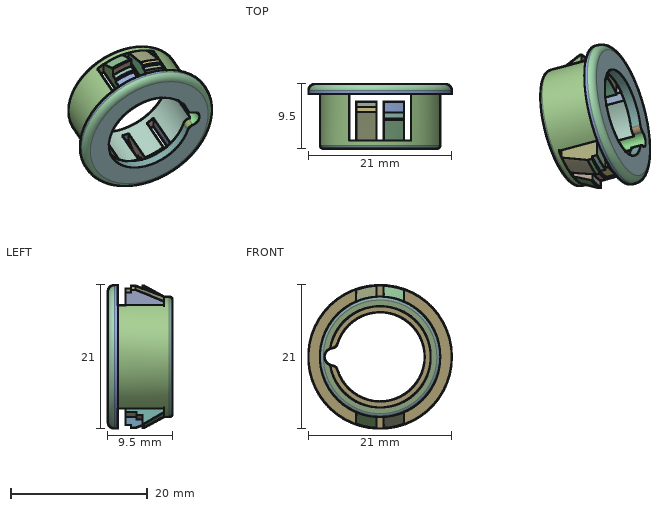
import cadquery as cq
import math


flange_radius = 10.5
flange_thickness = 1.5
flange_edge_fillet = 1.0
flange_bore_radius = 6.5

overall_length = 9.5
barrel_radius = 8.8
barrel_bore_radius = 7.4
barrel_edge_fillet = 0.5
flange_front = overall_length - flange_thickness

notch_radius = 1.25
notch_depth_radius = 8.1
notch_corner_radius = 1.0

window_width = 9.0
rim_length = 1.25

tab_inner_x = 0.5
tab_outer_x = 3.5
tab_end = 6.9
tab_peak_radius = 10.4

low_tab_steps = [(6.1, 10.0), (5.4, tab_peak_radius)]
high_tab_steps = [(5.3, barrel_radius), (4.4, 9.2), (4.2, tab_peak_radius)]


def cylinder(radius, start, end):
    """Solid cylinder about the Y axis from y = start to y = end."""
    return cq.Workplane("XZ", origin=(0, start, 0)).circle(radius).extrude(start - end)


def box_between(x_range, y_range, z_range):
    """Axis-aligned box spanning the given ranges."""
    sizes = [high - low for low, high in (x_range, y_range, z_range)]
    corner = (x_range[0], y_range[0], z_range[0])
    return cq.Workplane("XY").box(*sizes, centered=False).translate(corner)


def make_shell():
    """Flange and barrel with their rounded rims and stepped bore."""
    flange = cylinder(flange_radius, flange_front, overall_length)
    flange = flange.faces(">Y").edges().fillet(flange_edge_fillet)
    barrel = cylinder(barrel_radius, 0, flange_front)
    barrel = barrel.faces("<Y").edges().fillet(barrel_edge_fillet)
    shell = flange.union(barrel)
    shell = shell.cut(cylinder(barrel_bore_radius, 0, flange_front))
    return shell.cut(cylinder(flange_bore_radius, flange_front, overall_length))


def make_notch():
    """Keyway cutter: a round notch blended into the flange bore by two tangent arcs."""
    notch_x = notch_radius - notch_depth_radius
    to_axis = flange_bore_radius + notch_corner_radius
    to_notch = notch_radius + notch_corner_radius
    blend_x = (to_axis**2 - to_notch**2 + notch_x**2) / (2 * notch_x)
    blend_z = math.sqrt(to_axis**2 - blend_x**2)

    bore_x = blend_x * flange_bore_radius / to_axis
    bore_z = blend_z * flange_bore_radius / to_axis
    tangent_x = notch_x + (blend_x - notch_x) * notch_radius / to_notch
    tangent_z = blend_z * notch_radius / to_notch

    chord_x = (bore_x + tangent_x) / 2 - blend_x
    chord_z = (bore_z + tangent_z) / 2 - blend_z
    reach = notch_corner_radius / math.hypot(chord_x, chord_z)
    middle_x = blend_x + chord_x * reach
    middle_z = blend_z + chord_z * reach

    return (
        cq.Workplane("XZ")
        .moveTo(0, 0)
        .lineTo(bore_x, bore_z)
        .threePointArc((middle_x, middle_z), (tangent_x, tangent_z))
        .threePointArc((-notch_depth_radius, 0), (tangent_x, -tangent_z))
        .threePointArc((middle_x, -middle_z), (bore_x, -bore_z))
        .close()
        .extrude(-overall_length)
    )


def make_windows():
    """One box that opens both windows."""
    half_width = window_width / 2
    return box_between((-half_width, half_width), (rim_length, flange_front), (-flange_radius, flange_radius))


def make_tab(steps, x_range):
    """Snap tab on the +Z side: a revolved stepped barb trimmed to the tab width."""
    profile = cq.Workplane("XY").moveTo(barrel_bore_radius, rim_length).lineTo(barrel_bore_radius, tab_end)
    step_start = tab_end
    for step_end, radius in steps:
        profile = profile.lineTo(radius, step_start).lineTo(radius, step_end)
        step_start = step_end
    profile = profile.lineTo(barrel_radius, rim_length)
    barb = profile.close().revolve(360, (0, 0, 0), (0, 1, 0))
    return barb.intersect(box_between(x_range, (rim_length, tab_end), (0, flange_radius)))


def make_tabs():
    """Both tab pairs; the lower pair is the upper pair turned half a turn about Y."""
    low_tab = make_tab(low_tab_steps, (-tab_outer_x, -tab_inner_x))
    high_tab = make_tab(high_tab_steps, (tab_inner_x, tab_outer_x))
    upper_pair = low_tab.union(high_tab)
    return upper_pair.union(upper_pair.rotate((0, 0, 0), (0, 1, 0), 180))


result = make_shell().cut(make_notch()).cut(make_windows()).union(make_tabs())